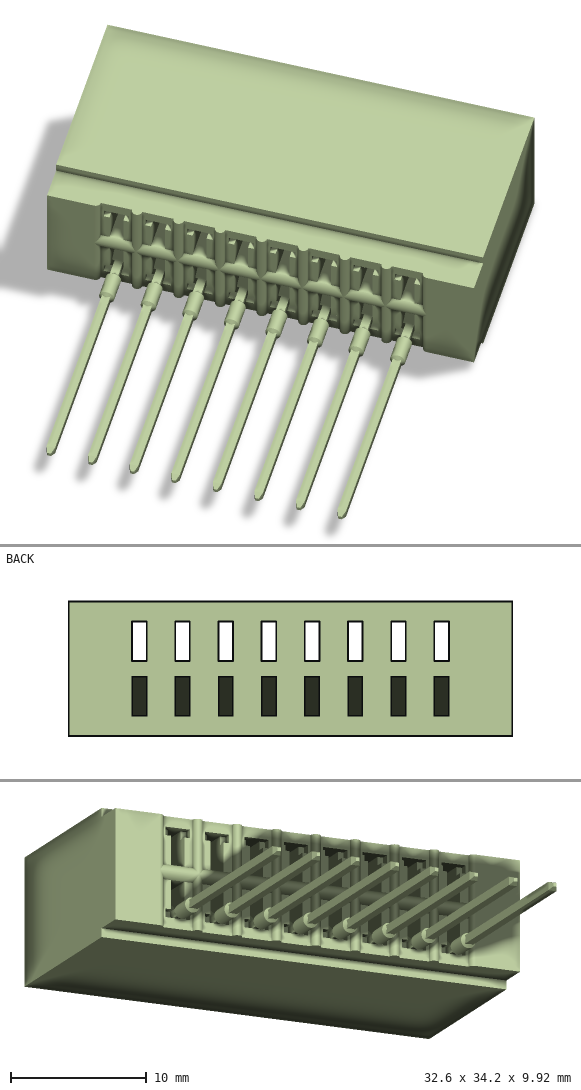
import cadquery as cq
import math


HOUSING_WIDTH = 32.63
HOUSING_DEPTH = 16.35
HOUSING_HEIGHT = 9.92
NOSE_LENGTH = 2.45
NOSE_STEP = 0.7
NOSE_HEIGHT = HOUSING_HEIGHT - 2 * NOSE_STEP

CELL_COUNT = 8
FIRST_TO_LAST_CELL = 22.23
CELL_PITCH = FIRST_TO_LAST_CELL / (CELL_COUNT - 1)
CELL_X = [(i - (CELL_COUNT - 1) / 2) * CELL_PITCH for i in range(CELL_COUNT)]
ROW_WIDTH = CELL_COUNT * CELL_PITCH

RECESS_DEPTH = 0.38
UPRIGHT_RIB_WIDTH = 0.8
CROSS_RIB_HEIGHT = 1.15

SLOT_WIDTH = 1.05
SLOT_INNER_Z = CROSS_RIB_HEIGHT / 2
PIN_ROW_Z = 3.15
NOTCH_WIDTH = 1.95
NOTCH_HEIGHT = 0.65
NOTCH_DEPTH = 0.7
NOTCH_FLOOR_Y = RECESS_DEPTH + NOTCH_DEPTH
SLOT_OUTER_Z = PIN_ROW_Z + NOTCH_HEIGHT / 2

OVERALL_LENGTH = 34.2
PIN_SIDE = 0.65
TIP_LENGTH = 0.48
TIP_SIDE = 0.27
TIP_Y = HOUSING_DEPTH - OVERALL_LENGTH
COLLAR_RADIUS = 0.58
COLLAR_START_Y = -0.1
COLLAR_LENGTH = 2.45
COLLAR_CHAMFER = 0.3
SPRING_ANGLE = 33.0


def block(width, height, y_front, y_back, z=0.0):
    """Box centred on X = 0 and on the given Z, between two Y planes."""
    return (
        cq.Workplane("XY")
        .box(width, y_back - y_front, height)
        .translate((0, (y_front + y_back) / 2, z))
    )


def upright_rib(x):
    """Rounded rib over the full nose height."""
    half_width = UPRIGHT_RIB_WIDTH / 2
    return (
        cq.Workplane("XY", origin=(x, RECESS_DEPTH, -NOSE_HEIGHT / 2))
        .moveTo(-half_width, 0)
        .threePointArc((0, -RECESS_DEPTH), (half_width, 0))
        .close()
        .extrude(NOSE_HEIGHT)
    )


def cross_rib():
    """Rounded rib along the whole row, between the upper and the lower slots."""
    half_height = CROSS_RIB_HEIGHT / 2
    return (
        cq.Workplane("YZ", origin=(-ROW_WIDTH / 2, 0, 0))
        .moveTo(RECESS_DEPTH, -half_height)
        .threePointArc((0, 0), (RECESS_DEPTH, half_height))
        .close()
        .extrude(ROW_WIDTH)
    )


def row_recess():
    """Shallow recess across the nose, less the ribs that stand in it."""
    recess = block(ROW_WIDTH, HOUSING_HEIGHT, 0, RECESS_DEPTH).cut(cross_rib())
    for i in range(CELL_COUNT + 1):
        recess = recess.cut(upright_rib((i - CELL_COUNT / 2) * CELL_PITCH))
    return recess


def slot_with_notch(side):
    """Through slot and notch of one cell at X = 0; side is +1 above the cross rib, -1 below."""
    slot_height = SLOT_OUTER_Z - SLOT_INNER_Z
    slot_z = side * (SLOT_OUTER_Z + SLOT_INNER_Z) / 2
    slot = block(SLOT_WIDTH, slot_height, RECESS_DEPTH, HOUSING_DEPTH, slot_z)
    notch = block(NOTCH_WIDTH, NOTCH_HEIGHT, RECESS_DEPTH, NOTCH_FLOOR_Y, side * PIN_ROW_Z)
    return slot.union(notch)


def make_housing():
    housing = block(HOUSING_WIDTH, HOUSING_HEIGHT, NOSE_LENGTH, HOUSING_DEPTH)
    housing = housing.union(block(HOUSING_WIDTH, NOSE_HEIGHT, 0, NOSE_LENGTH))
    housing = housing.cut(row_recess())
    for x in CELL_X:
        for side in (1, -1):
            housing = housing.cut(slot_with_notch(side).translate((x, 0, 0)))
    return housing


def pin_tip():
    """Pyramid that narrows the square pin to its blunt tip."""
    return (
        cq.Workplane("XZ", origin=(0, TIP_Y + TIP_LENGTH, -PIN_ROW_Z))
        .rect(PIN_SIDE, PIN_SIDE)
        .workplane(offset=TIP_LENGTH)
        .rect(TIP_SIDE, TIP_SIDE)
        .loft()
    )


def pin_collar():
    """Round collar just in front of the housing, chamfered at both ends."""
    return (
        cq.Workplane("XZ", origin=(0, COLLAR_START_Y, -PIN_ROW_Z))
        .circle(COLLAR_RADIUS)
        .extrude(COLLAR_LENGTH)
        .edges("%CIRCLE")
        .chamfer(COLLAR_CHAMFER)
    )


def spring_blade():
    """Blade as wide as its slot, rising from the pin to the underside of the web above the slot."""
    angle = math.radians(SPRING_ANGLE)
    bottom_z = -PIN_ROW_Z - PIN_SIDE / 2
    bend_z = -PIN_ROW_Z + PIN_SIDE / 2
    top_z = -SLOT_INNER_Z
    slope = math.tan(angle)
    top_y = NOTCH_FLOOR_Y + (top_z - bend_z) / slope
    blade_depth = PIN_SIDE / math.sin(angle)
    foot_y = top_y + blade_depth - (top_z - bottom_z) / slope
    return (
        cq.Workplane("YZ", origin=(-SLOT_WIDTH / 2, 0, 0))
        .moveTo(NOTCH_FLOOR_Y, bottom_z)
        .lineTo(NOTCH_FLOOR_Y, bend_z)
        .lineTo(top_y, top_z)
        .lineTo(top_y + blade_depth, top_z)
        .lineTo(foot_y, bottom_z)
        .close()
        .extrude(SLOT_WIDTH)
    )


def make_contact(x):
    shank = block(PIN_SIDE, PIN_SIDE, TIP_Y + TIP_LENGTH, NOTCH_FLOOR_Y, -PIN_ROW_Z)
    contact = shank.union(pin_tip()).union(pin_collar()).union(spring_blade())
    return contact.translate((x, 0, 0))


housing = make_housing()
contacts = [make_contact(x) for x in CELL_X]

result = cq.Compound.makeCompound([housing.val(), *(contact.val() for contact in contacts)])